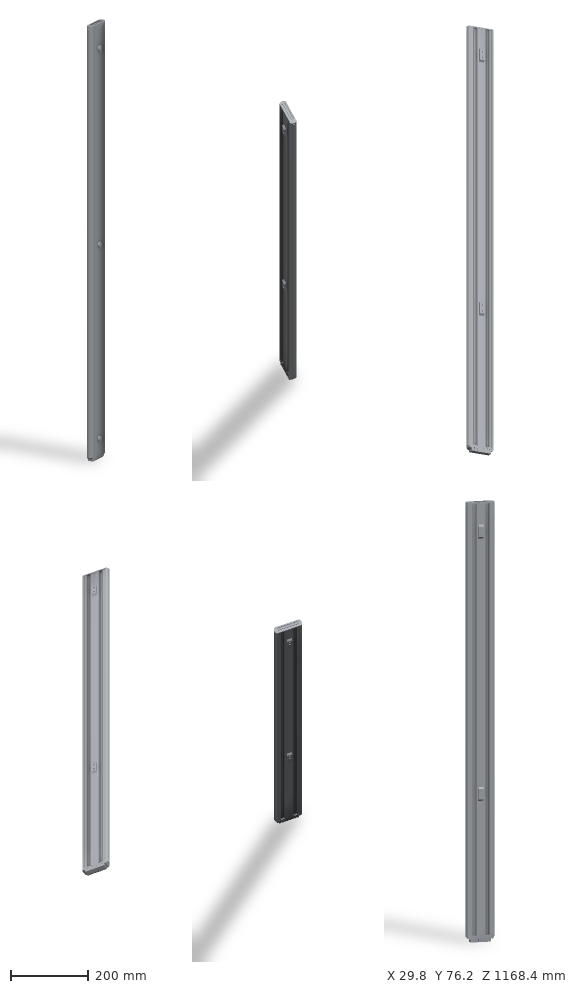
import cadquery as cq
import math

total_depth = 29.79
total_width = 76.19
total_height = 1168.4
top_z = total_height / 2
bottom_z = -total_height / 2
clip_outer_x = -total_depth / 2
blade_outer_x = total_depth / 2
tip_y = total_width / 2

rail_depth = 18.0
rail_center_x = -1.2
rail_front_x = rail_center_x - rail_depth / 2
rail_back_x = rail_center_x + rail_depth / 2
nose_half = 6.0
nose_radius = 9.15
nose_base_y = tip_y - nose_radius + math.sqrt(nose_radius**2 - nose_half**2)
corner_size = rail_depth / 2 - nose_half

trough_half = 22.5
trough_depth = 6.0
trough_floor_x = rail_front_x + trough_depth
rib_y = 17.75
rib_width = 3.5
rib_height = 1.5

groove_y = 27.5
groove_width = 4.0
groove_depth = 1.0

top_plate_thickness = 3.0
ear_height = 12.0
ear_inner_y = 30.0
rail_top_z = top_z - top_plate_thickness
rail_bottom_z = -567.0
strip_bottom_z = -560.0
strip_half = 12.0

top_groove_width = 3.5
top_groove_half_length = 28.0
top_groove_depth = 2.0
top_groove_offset = 3.5

clip_half_width = 6.8
clip_length = 37.0
clip_slope = 4.5
clip_centers_z = (507.5, -190.0)
clip_hole_diameter = 5.0
clip_hole_depth = 3.0
clip_hole_offset = 7.5

button_diameter = 14.0
button_outer_x = 12.0
top_button_z = 517.0
button_centers_z = (top_button_z, -8.8, -529.0)
blade_thickness = 1.8
blade_length = 18.0

screw_diameter = 4.0
screw_depth = 6.0
top_screw_z = top_z - ear_height / 2
bottom_screw_z = rail_bottom_z - 4.5
shoulder_half = 34.9
shoulder_top_z = -570.5
shoulder_bottom_z = -576.5
shoulder_chamfer = 3.5
foot_half = 27.5
foot_chamfer = 3.5
cap_pocket_depth = 1.0
cap_pocket_width = 8.0
cap_pocket_y = 12.5
cap_pocket_height = 8.0
cap_pocket_z = rail_bottom_z - cap_pocket_height / 2

flute_count = 7
flute_pitch = 7.0
flute_width = flute_pitch / 2
flute_depth = 1.0
flute_top_z = -573.8


def box(x_range, y_range, z_range):
    """Box spanning the given (low, high) limits along each axis."""
    (x0, x1), (y0, y1), (z0, z1) = x_range, y_range, z_range
    return cq.Workplane("XY").box(x1 - x0, y1 - y0, z1 - z0, centered=False).translate((x0, y0, z0))


def envelope(z_low, z_high):
    """Outer rail outline, with quarter-round corners and a round nose on each long edge."""
    land_end_y = nose_base_y - corner_size
    nose_front_x = rail_center_x - nose_half
    nose_back_x = rail_center_x + nose_half
    corner_mid = corner_size * math.sqrt(0.5)

    def corner_point(side_x, side_y):
        x = rail_center_x + side_x * (nose_half + corner_mid)
        return x, side_y * (land_end_y + corner_mid)

    return (
        cq.Workplane("XY", origin=(0, 0, z_low))
        .moveTo(rail_front_x, -land_end_y)
        .lineTo(rail_front_x, land_end_y)
        .threePointArc(corner_point(-1, 1), (nose_front_x, nose_base_y))
        .threePointArc((rail_center_x, tip_y), (nose_back_x, nose_base_y))
        .threePointArc(corner_point(1, 1), (rail_back_x, land_end_y))
        .lineTo(rail_back_x, -land_end_y)
        .threePointArc(corner_point(1, -1), (nose_back_x, -nose_base_y))
        .threePointArc((rail_center_x, -tip_y), (nose_front_x, -nose_base_y))
        .threePointArc(corner_point(-1, -1), (rail_front_x, -land_end_y))
        .close()
        .extrude(z_high - z_low)
    )


def span(center, width):
    """Low and high limits of a width centred on a position."""
    return center - width / 2, center + width / 2


def nose_screw_hole(side, z):
    """Blind hole drilled inward from the nose on one long edge."""
    start = cq.Vector(rail_center_x, side * tip_y, z)
    inward = cq.Vector(0, -side, 0)
    return cq.Workplane(cq.Solid.makeCylinder(screw_diameter / 2, screw_depth, start, inward))


def make_ear_block(side):
    """Space at the top of one long edge that the top cap's ear fills."""
    y_range = sorted((side * ear_inner_y, side * (tip_y + 1)))
    return box((rail_front_x - 1, rail_back_x + 1), y_range, (top_z - ear_height, top_z))


def make_button(z):
    """Round button standing on the back of the rail."""
    start = cq.Vector(rail_back_x, 0, z)
    height = button_outer_x - rail_back_x
    return cq.Workplane(cq.Solid.makeCylinder(button_diameter / 2, height, start, cq.Vector(1, 0, 0)))


def make_rail():
    """Long extrusion with the front trough, land grooves, back buttons and the blade on the top button."""
    rail = envelope(rail_bottom_z, rail_top_z)
    length = (rail_bottom_z, rail_top_z)
    rail = rail.cut(box((rail_front_x, trough_floor_x), (-trough_half, trough_half), length))
    for side in (-1, 1):
        rib_x = (trough_floor_x - rib_height, trough_floor_x)
        rail = rail.union(box(rib_x, span(side * rib_y, rib_width), length))
        groove_x = (rail_front_x, rail_front_x + groove_depth)
        rail = rail.cut(box(groove_x, span(side * groove_y, groove_width), length))
        rail = rail.cut(make_ear_block(side))
    for z in button_centers_z:
        rail = rail.union(make_button(z))
    blade = box(
        (rail_back_x, blade_outer_x), span(0, blade_thickness), span(top_button_z, blade_length)
    )
    return rail.union(blade)


def make_clip(z):
    """Clip with sloping ends and two blind holes, standing on the face strip."""
    half = clip_length / 2
    clip = (
        cq.Workplane("XZ", origin=(0, clip_half_width, z))
        .moveTo(rail_front_x, -half)
        .lineTo(clip_outer_x, -half + clip_slope)
        .lineTo(clip_outer_x, half - clip_slope)
        .lineTo(rail_front_x, half)
        .close()
        .extrude(2 * clip_half_width)
    )
    for offset in (-clip_hole_offset, clip_hole_offset):
        start = cq.Vector(clip_outer_x, 0, z + offset)
        hole = cq.Solid.makeCylinder(clip_hole_diameter / 2, clip_hole_depth, start, cq.Vector(1, 0, 0))
        clip = clip.cut(cq.Workplane(hole))
    return clip


def make_face_strip():
    """Bar lying in the rail trough, carrying both clips."""
    strip = box(
        (rail_front_x, trough_floor_x), (-strip_half, strip_half), (strip_bottom_z, rail_top_z)
    )
    for z in clip_centers_z:
        strip = strip.union(make_clip(z))
    return strip


def make_top_cap():
    """Thin plate with two grooves along its top and an ear reaching down each long edge."""
    cap = envelope(rail_top_z, top_z)
    for side in (-1, 1):
        ear = envelope(top_z - ear_height, top_z).intersect(make_ear_block(side))
        cap = cap.union(ear).cut(nose_screw_hole(side, top_screw_z))
        groove_x = span(rail_center_x + side * top_groove_offset, top_groove_width)
        groove_y_range = (-top_groove_half_length, top_groove_half_length)
        cap = cap.cut(box(groove_x, groove_y_range, (top_z - top_groove_depth, top_z)))
    return cap


def make_bottom_cap():
    """Stepped end block with a tongue that fills the trough below the face strip."""
    half_block = (
        cq.Workplane("YZ", origin=(rail_front_x, 0, 0))
        .moveTo(-tip_y, rail_bottom_z)
        .lineTo(-tip_y, shoulder_top_z)
        .lineTo(-shoulder_half, shoulder_top_z)
        .lineTo(-shoulder_half, shoulder_bottom_z + shoulder_chamfer)
        .lineTo(-shoulder_half + shoulder_chamfer, shoulder_bottom_z)
        .lineTo(-foot_half, shoulder_bottom_z)
        .lineTo(-foot_half, bottom_z)
        .lineTo(0, bottom_z)
        .lineTo(0, rail_bottom_z)
        .close()
        .extrude(rail_depth)
    )
    cap = half_block.union(half_block.mirror("XZ")).intersect(envelope(bottom_z, rail_bottom_z))
    cap = cap.faces("<Z").edges(">X").chamfer(foot_chamfer)
    tongue = box(
        (rail_front_x, trough_floor_x), (-strip_half, strip_half), (rail_bottom_z, strip_bottom_z)
    )
    cap = cap.union(tongue)
    for side in (-1, 1):
        pocket_x = (rail_front_x, rail_front_x + cap_pocket_depth)
        pocket_y = span(side * cap_pocket_y, cap_pocket_width)
        cap = cap.cut(box(pocket_x, pocket_y, span(cap_pocket_z, cap_pocket_height)))
        cap = cap.cut(nose_screw_hole(side, bottom_screw_z))
    for i in range(flute_count):
        flute_y = (i - (flute_count - 1) / 2) * flute_pitch
        flute_x = (rail_front_x, rail_front_x + flute_depth)
        cap = cap.cut(box(flute_x, span(flute_y, flute_width), (bottom_z, flute_top_z)))
    return cap


rail = make_rail()
face_strip = make_face_strip()
top_cap = make_top_cap()
bottom_cap = make_bottom_cap()

result = cq.Compound.makeCompound([rail.val(), face_strip.val(), top_cap.val(), bottom_cap.val()])